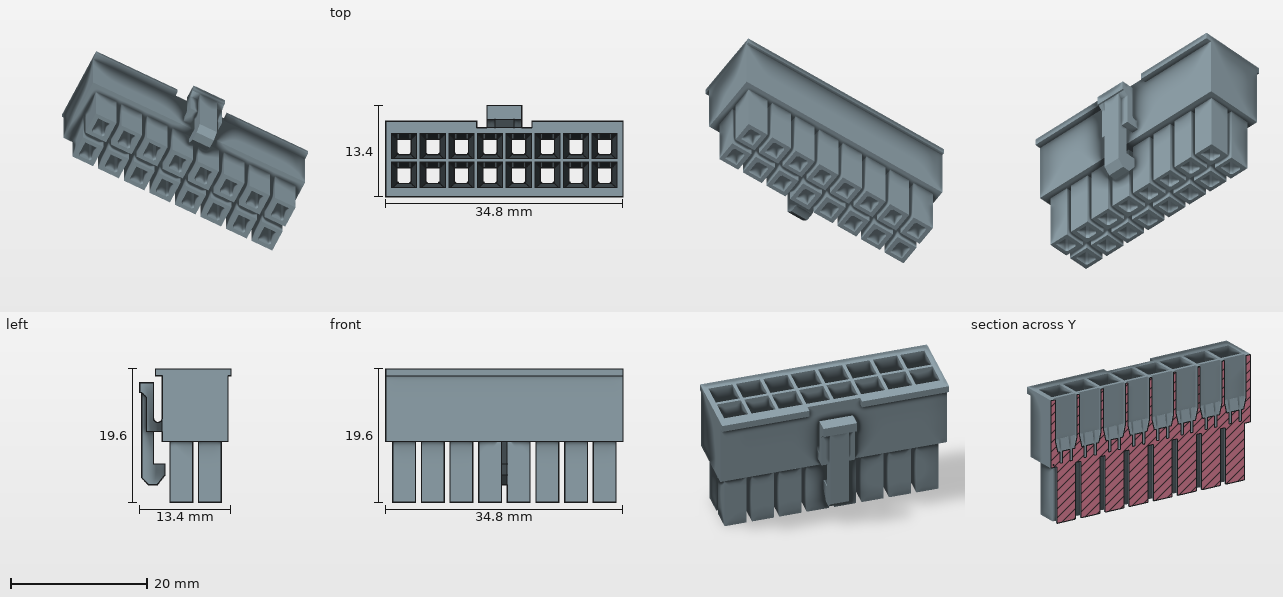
import cadquery as cq


length = 34.8
rim_depth = 11.1
rim_height = 1.05
body_front = 0.42
body_back = 10.13
body_height = 10.7
rim_gap_width = 8.07

columns = 8
rows = 2
leg_width = 3.38
end_margin = 1.0
leg_bottom = 19.6
front_row_y = 3.1

pocket_width = 3.7
pocket_shift_y = 0.15
funnel_top = 6.55
funnel_bottom = 10.15
funnel_inset = 0.85
hole_width = 2.05
hole_depth = 2.25
hole_chamfer = 0.28
notch_width = 0.35

latch_width = 5.15
latch_arm_width = 2.82
latch_back = 13.4
arm_back = 13.12
lever_back = 12.42
lever_front = 11.35
latch_top = 2.02
head_bottom = 3.48
head_slope_bottom = 4.18
bridge_top = 7.85
bridge_bottom = 9.22
hook_front = 9.67
hook_top = 13.95
hook_side_bottom = 15.55
hook_back_bottom = 15.97
hook_bottom = 17.0
hook_tip_front = 10.82
hook_tip_back = 12.1

middle_x = length / 2
first_column_x = end_margin + leg_width / 2
pitch = (length - 2 * first_column_x) / (columns - 1)
centers = [
    (first_column_x + pitch * column, front_row_y + pitch * row)
    for column in range(columns)
    for row in range(rows)
]


def block(x_min, x_max, y_min, y_max, top, bottom):
    """Box between two X, two Y and two depths below the top face."""
    size = (x_max - x_min, y_max - y_min, bottom - top)
    return cq.Workplane("XY").box(*size, centered=False).translate((x_min, y_min, -bottom))


def centered_block(x, y, x_size, y_size, top, bottom):
    return block(x - x_size / 2, x + x_size / 2, y - y_size / 2, y + y_size / 2, top, bottom)


def make_housing():
    housing = block(0, length, body_front, body_back, 0, body_height)
    housing = housing.union(block(0, length, 0, rim_depth, 0, rim_height))
    half_gap = rim_gap_width / 2
    rim_gap = block(
        middle_x - half_gap, middle_x + half_gap, body_back, rim_depth, 0, rim_height
    )
    housing = housing.cut(rim_gap)
    for x, y in centers:
        housing = housing.union(centered_block(x, y, leg_width, leg_width, 0, leg_bottom))
    return housing


def make_cavity(x, y):
    pocket_y = y + pocket_shift_y
    pocket_back = pocket_y + pocket_width / 2

    pocket = centered_block(x, pocket_y, pocket_width, pocket_width, 0, funnel_top)

    funnel = (
        cq.Workplane("XY", origin=(x, y, -funnel_top))
        .rect(hole_width + 2 * funnel_inset, hole_depth + 2 * funnel_inset)
        .workplane(offset=funnel_top - funnel_bottom)
        .rect(hole_width, hole_depth)
        .loft(ruled=True)
    )
    funnel = funnel.intersect(
        centered_block(x, pocket_y, pocket_width, pocket_width, funnel_top, funnel_bottom)
    )

    hole = (
        centered_block(x, y, hole_width, hole_depth, funnel_bottom, leg_bottom)
        .edges("|Z and <Y")
        .chamfer(hole_chamfer)
    )
    cavity = pocket.union(funnel).union(hole)

    notch_offset = (hole_width - notch_width) / 2
    for side in (-1, 1):
        notch_x = x + side * notch_offset
        half_notch = notch_width / 2
        notch = block(
            notch_x - half_notch, notch_x + half_notch, y, pocket_back, funnel_top, funnel_bottom
        )
        cavity = cavity.union(notch)
    return cavity


def extrude_profile(profile, width):
    """Extrude a closed YZ profile symmetrically about the middle of the part."""
    return profile.close().extrude(width / 2, both=True).translate((middle_x, 0, 0))


def make_latch():
    bend_radius = (lever_front - body_back) / 2
    bend_start = bridge_top - bend_radius
    lever_profile = (
        cq.Workplane("YZ")
        .moveTo(latch_back, -latch_top)
        .lineTo(latch_back, -head_bottom)
        .lineTo(arm_back, -head_bottom)
        .lineTo(lever_back, -head_slope_bottom)
        .lineTo(lever_back, -bridge_bottom)
        .lineTo(body_back, -bridge_bottom)
        .lineTo(body_back, -bend_start)
        .threePointArc((body_back + bend_radius, -bridge_top), (lever_front, -bend_start))
        .lineTo(lever_front, -latch_top)
    )
    lever = extrude_profile(lever_profile, latch_width)

    half_arm = latch_arm_width / 2
    slot = block(
        middle_x - half_arm, middle_x + half_arm, body_back, lever_front, latch_top, bridge_bottom
    )

    arm_profile = (
        cq.Workplane("YZ")
        .moveTo(arm_back, -head_bottom)
        .lineTo(arm_back, -hook_back_bottom)
        .lineTo(hook_tip_back, -hook_bottom)
        .lineTo(hook_tip_front, -hook_bottom)
        .lineTo(hook_front, -hook_side_bottom)
        .lineTo(hook_front, -hook_top)
        .lineTo(lever_front, -hook_top)
        .lineTo(lever_front, -head_bottom)
    )
    arm = extrude_profile(arm_profile, latch_arm_width)
    return lever.cut(slot).union(arm)


result = make_housing()
for x, y in centers:
    result = result.cut(make_cavity(x, y))
result = result.union(make_latch())